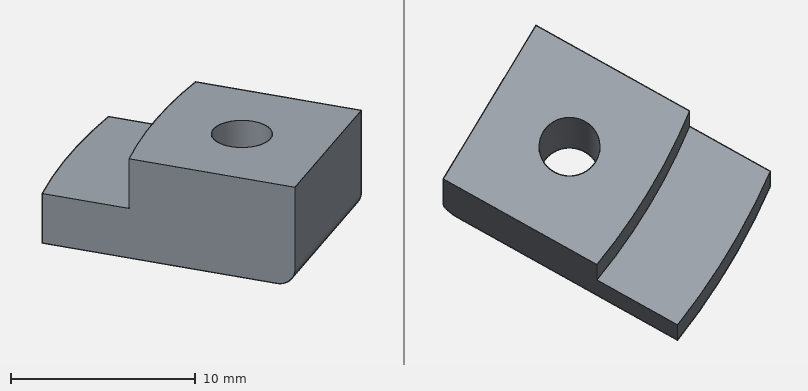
import cadquery as cq
import math

length = 14.97
width = 10.0
height = 6.0

step_length = 5.0
step_height = height / 2

outer_radius = 39.97
inner_radius = outer_radius - step_length

hole_diameter = 3.3
hole_to_back = 5.0
bottom_edge_radius = 1.05


def bowed_block(front_x, front_radius, block_height):
    """Block from a front wall bulging toward -X to the flat back at x = length."""
    half_width = width / 2
    bow = front_radius - math.sqrt(front_radius**2 - half_width**2)
    return (
        cq.Workplane("XY")
        .moveTo(length, -half_width)
        .lineTo(length, half_width)
        .lineTo(front_x + bow, half_width)
        .threePointArc((front_x, 0), (front_x + bow, -half_width))
        .close()
        .extrude(block_height)
    )


base = bowed_block(0, outer_radius, step_height)
body = base.union(bowed_block(step_length, inner_radius, height))

body = body.faces(">X").edges("<Z").fillet(bottom_edge_radius)

hole = (
    cq.Workplane("XY")
    .center(length - hole_to_back, 0)
    .circle(hole_diameter / 2)
    .extrude(height)
)
result = body.cut(hole)